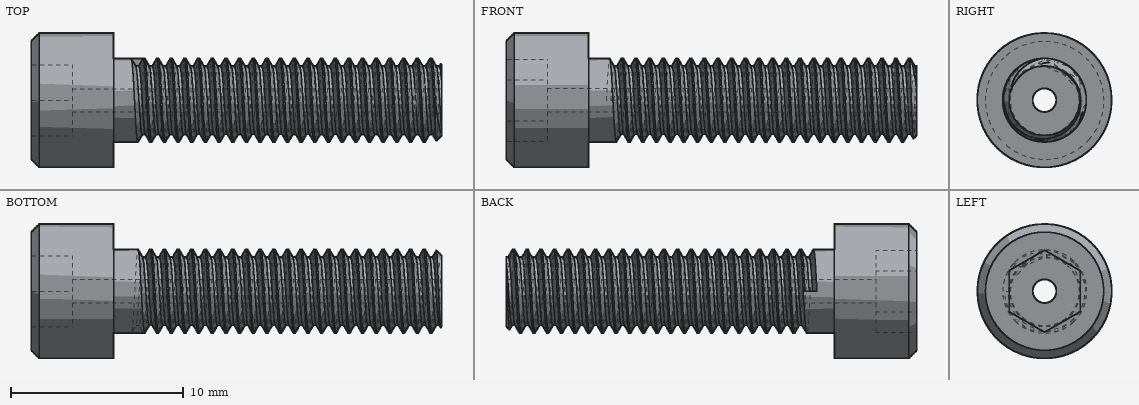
import cadquery as cq
import math

length = 23.83
head_diameter = 7.82
head_length = 4.8
head_chamfer = 0.48
shank_diameter = 4.85
shank_radius = shank_diameter / 2

socket_across_flats = 4.12
socket_sides = 6
socket_depth = 2.38
bore_diameter = 1.35

gauge_turns = 21
gauge_length = 16.65
pitch = gauge_length / gauge_turns
root_diameter = 3.98
root_width = 0.2
flank_angle = math.radians(30)
thread_start = 6.15
tip_chamfer = 0.38
cutter_overlap = 0.02

root_radius = root_diameter / 2
cutter_radius = shank_radius + cutter_overlap


def make_head():
    head = cq.Workplane("YZ").circle(head_diameter / 2).extrude(head_length)
    return head.faces("<X").chamfer(head_chamfer)


def make_shank():
    shank = cq.Workplane("YZ").workplane(offset=head_length).circle(shank_radius)
    return shank.extrude(length - head_length)


def make_thread_groove():
    root_half = root_width / 2
    outer_half = root_half + (cutter_radius - root_radius) * math.tan(flank_angle)
    groove_length = length + pitch - thread_start
    helix = cq.Wire.makeHelix(pitch, groove_length, root_radius)
    profile = cq.Workplane("XZ").polyline([
        (root_radius, -root_half),
        (root_radius, root_half),
        (cutter_radius, outer_half),
        (cutter_radius, -outer_half),
    ]).close()
    groove = profile.sweep(cq.Workplane(helix), isFrenet=True)
    groove = groove.rotate((0, 0, 0), (1, 1, 1), 120)
    return groove.translate((thread_start, 0, 0))


def make_tip_cutter():
    outside = shank_radius + tip_chamfer
    ring = cq.Workplane("XY").polyline([
        (length - 2 * tip_chamfer, outside),
        (length + tip_chamfer, outside),
        (length + tip_chamfer, shank_radius - 2 * tip_chamfer),
    ]).close()
    return ring.revolve(360, (0, 0, 0), (1, 0, 0))


def make_socket():
    across_corners = socket_across_flats / math.cos(math.radians(180 / socket_sides))
    hexagon = cq.Workplane("YZ").transformed(rotate=(0, 0, 90)).polygon(socket_sides, across_corners)
    return hexagon.extrude(socket_depth)


def make_bore():
    return cq.Workplane("YZ").circle(bore_diameter / 2).extrude(length)


threaded_shank = make_shank().cut(make_thread_groove()).cut(make_tip_cutter())
result = make_head().union(threaded_shank).cut(make_socket()).cut(make_bore())